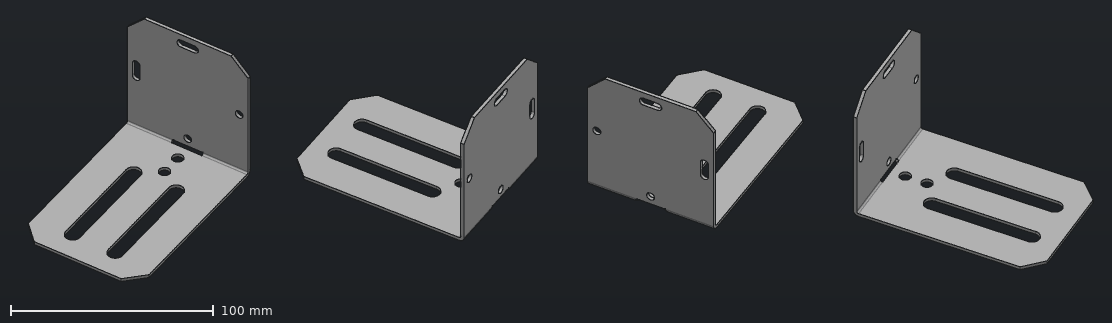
import cadquery as cq
import math

WIDTH = 71.0
BASE_LENGTH = 102.0
WALL_HEIGHT = 74.4

THICKNESS = 2.0
BEND_INNER_RADIUS = 1.0
BEND_OUTER_RADIUS = BEND_INNER_RADIUS + THICKNESS
CORNER_CHAMFER = 10.0

BEND_SLOT_LENGTH = 18.0
BEND_SLOT_WIDTH = BEND_OUTER_RADIUS * math.sqrt(2)

WALL_PATTERN_HEIGHT = 38.2
WALL_PATTERN_RADIUS = 30.25
WALL_HOLE_DIAMETER = 4.4
WALL_SLOT_LENGTH = 12.4

BASE_HOLE_DIAMETER = 6.0
BASE_HOLE_FIRST = 11.0
BASE_HOLE_PITCH = 12.0
BASE_SLOT_WIDTH = 8.2
BASE_SLOT_LENGTH = 63.5
BASE_SLOT_SPACING = 25.0
BASE_SLOT_CENTRE = 59.5


def bent_sheet():
    """L-shaped section with a rolled corner, extruded across the width."""
    profile = (
        cq.Workplane("YZ")
        .moveTo(-BASE_LENGTH, 0)
        .lineTo(-BEND_OUTER_RADIUS, 0)
        .radiusArc((0, BEND_OUTER_RADIUS), -BEND_OUTER_RADIUS)
        .lineTo(0, WALL_HEIGHT)
        .lineTo(-THICKNESS, WALL_HEIGHT)
        .lineTo(-THICKNESS, BEND_OUTER_RADIUS)
        .radiusArc((-BEND_OUTER_RADIUS, THICKNESS), BEND_INNER_RADIUS)
        .lineTo(-BASE_LENGTH, THICKNESS)
        .close()
    )
    return profile.extrude(WIDTH / 2, both=True)


def chamfer_free_corners(body):
    """Cut the two outer corners of the base and of the wall."""
    body = body.faces("<Y").edges("|Z").chamfer(CORNER_CHAMFER)
    return body.faces(">Z").edges("|Y").chamfer(CORNER_CHAMFER)


def wall_cuts():
    """Holes below and to the right of the pattern centre, slots above and to the left."""
    wall = cq.Workplane("XZ", origin=(0, 0, WALL_PATTERN_HEIGHT))
    holes = (
        wall.pushPoints([(WALL_PATTERN_RADIUS, 0), (0, -WALL_PATTERN_RADIUS)])
        .circle(WALL_HOLE_DIAMETER / 2)
        .extrude(THICKNESS)
    )
    top_slot = (
        wall.center(0, WALL_PATTERN_RADIUS)
        .slot2D(WALL_SLOT_LENGTH, WALL_HOLE_DIAMETER)
        .extrude(THICKNESS)
    )
    side_slot = (
        wall.center(-WALL_PATTERN_RADIUS, 0)
        .slot2D(WALL_SLOT_LENGTH, WALL_HOLE_DIAMETER, 90)
        .extrude(THICKNESS)
    )
    return holes.union(top_slot).union(side_slot)


def base_cuts():
    """Two round holes near the bend and two parallel slots running along Y."""
    base = cq.Workplane("XY")
    holes = (
        base.pushPoints([(0, -BASE_HOLE_FIRST), (0, -BASE_HOLE_FIRST - BASE_HOLE_PITCH)])
        .circle(BASE_HOLE_DIAMETER / 2)
        .extrude(THICKNESS)
    )
    slots = (
        base.pushPoints([(side * BASE_SLOT_SPACING / 2, -BASE_SLOT_CENTRE) for side in (-1, 1)])
        .slot2D(BASE_SLOT_LENGTH, BASE_SLOT_WIDTH, 90)
        .extrude(THICKNESS)
    )
    return holes.union(slots)


def bend_slot():
    """Round-ended slot cut diagonally through the corner, confined to the square zone of the bend."""
    bend_zone = cq.Workplane("XY").box(
        BEND_SLOT_LENGTH, BEND_OUTER_RADIUS, BEND_OUTER_RADIUS, centered=(True, True, False)
    )
    bend_zone = bend_zone.translate((0, -BEND_OUTER_RADIUS / 2, 0))
    diagonal = cq.Plane(origin=(0, 0, 0), xDir=(1, 0, 0), normal=(0, -1, 1))
    slot = cq.Workplane(diagonal).slot2D(BEND_SLOT_LENGTH, BEND_SLOT_WIDTH)
    return slot.extrude(BEND_SLOT_WIDTH).intersect(bend_zone)


result = chamfer_free_corners(bent_sheet()).cut(wall_cuts()).cut(base_cuts()).cut(bend_slot())